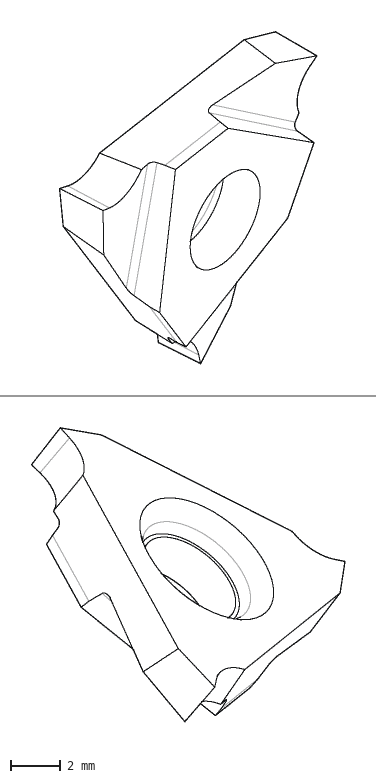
import cadquery as cq
import math


thickness = 3.19
tips = 3
oversize = 27.58

side_distance = 4.52
side_angle = 90.0
side_draft = 4.2
side_draft_height = 2.69
flank_distance = 6.19
flank_angle = 66.2
flank_relief = 1.7

scallop_radius = 1.88
scallop_y = -5.47
scallop_z = 5.85
scallop_exit_angle = 158.3

tip_y = 7.07
tip_z = 3.64
tip_height = 2.23
floor_tilt = 5.2
floor_angle = 13.5
wall_distance = 3.82
wall_angle = 51.7
wall_lean = 7.0
wall_foot_height = 1.93
foot_radius = 0.28

hole_radius = 2.23
sink_radius = 3.24
sink_middle_radius = 2.62
sink_bottom_radius = 2.41
sink_middle_depth = 0.76
sink_depth = 1.27


def direction(angle):
    """Unit vector in the YZ plane, with the angle measured from +Y toward +Z."""
    return cq.Vector(0, math.cos(math.radians(angle)), math.sin(math.radians(angle)))


def leaning(angle, slope):
    """The YZ direction tilted toward +X by the slope."""
    axis = cq.Vector(1, 0, 0)
    return direction(angle) * math.cos(math.radians(slope)) + axis * math.sin(math.radians(slope))


def triangle(distance, normal_angle):
    """Equilateral triangle on the flat face whose sides lie at the given distance from the axis."""
    corner_radius = distance / math.cos(math.pi / tips)
    corners = []
    for i in range(tips):
        corner = direction(normal_angle + (i + 0.5) * 360 / tips) * corner_radius
        corners.append((corner.y, corner.z))
    return cq.Workplane("YZ").polyline(corners).close()


def block_beyond(point, normal):
    """Large block filling the space on the normal's side of a plane."""
    return cq.Workplane(cq.Plane(origin=point, normal=normal)).rect(oversize, oversize).extrude(oversize)


def at_each_tip(body, cutter):
    for i in range(tips):
        body = body.cut(cutter.rotate((0, 0, 0), (1, 0, 0), i * 360 / tips))
    return body


def make_blank():
    drafted = triangle(side_distance, side_angle).extrude(side_draft_height, taper=-side_draft)
    rim_distance = side_distance + side_draft_height * math.tan(math.radians(side_draft))
    straight = triangle(rim_distance, side_angle).extrude(thickness - side_draft_height)
    straight = straight.translate((side_draft_height, 0, 0))
    flanks = triangle(flank_distance, flank_angle).extrude(thickness, taper=flank_relief)
    return drafted.union(straight).intersect(flanks)


def make_scallop():
    center = cq.Vector(0, scallop_y, scallop_z)
    arc_end = center + direction(scallop_exit_angle + 90) * scallop_radius
    run_out = direction(scallop_exit_angle) * (2 * scallop_radius)
    outline = [center, arc_end, arc_end + run_out, center + run_out]
    round_part = cq.Workplane("YZ").center(scallop_y, scallop_z).circle(scallop_radius).extrude(thickness)
    straight_part = cq.Workplane("YZ").polyline([(p.y, p.z) for p in outline]).close().extrude(thickness)
    return round_part.union(straight_part)


def make_relief():
    tip = cq.Vector(tip_height, tip_y, tip_z)
    above_floor = block_beyond(tip, leaning(floor_angle + 180, 90 - floor_tilt))
    wall_top = direction(wall_angle) * wall_distance + cq.Vector(thickness, 0, 0)
    outside_wall = block_beyond(wall_top, leaning(wall_angle, wall_lean))
    foot = direction(wall_angle) * wall_distance + cq.Vector(wall_foot_height, 0, 0)
    relief = above_floor.intersect(outside_wall)
    return relief.edges(cq.NearestToPointSelector(foot.toTuple())).fillet(foot_radius)


def make_screw_hole():
    profile = [
        (0, 0),
        (0, -sink_radius),
        (sink_middle_depth, -sink_middle_radius),
        (sink_depth, -sink_bottom_radius),
        (sink_depth, -hole_radius),
        (thickness, -hole_radius),
        (thickness, 0),
    ]
    return cq.Workplane("XY").polyline(profile).close().revolve(360, (0, 0, 0), (1, 0, 0))


insert = make_blank()
insert = at_each_tip(insert, make_scallop())
insert = at_each_tip(insert, make_relief())
result = insert.cut(make_screw_hole())